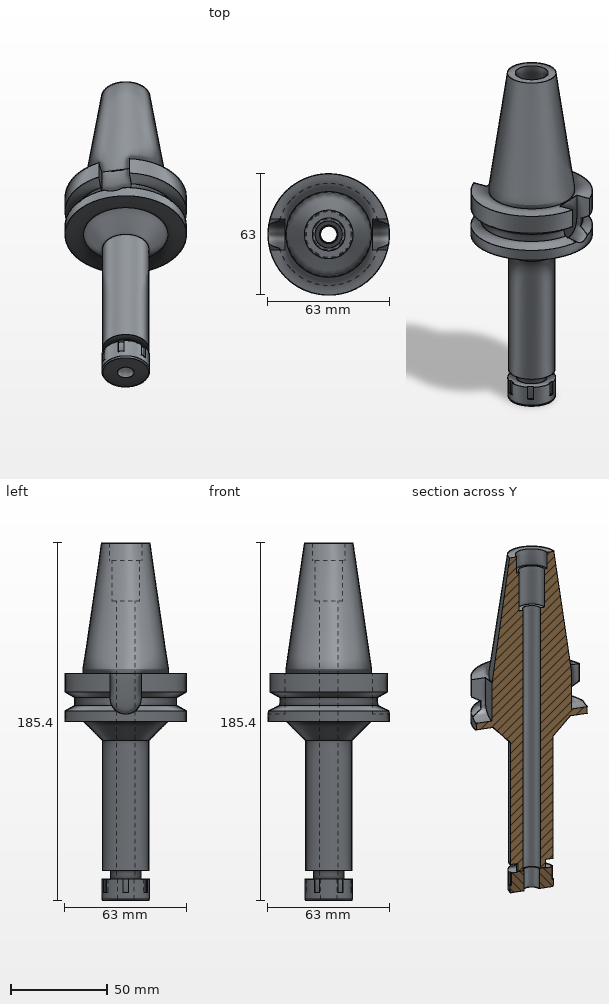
import cadquery as cq

overall_height = 185.4
gauge_height = 120.0
flange_top = 118.0
upper_lip_bottom = 108.3
groove_top = 105.3
groove_bottom = 101.2
lower_lip_top = 98.5
flange_bottom = 92.9
shank_top = 83.0
shank_bottom = 15.5
nut_height = 11.1

taper_top_radius = 12.6
taper_base_radius = 22.2
flange_radius = 31.5
groove_radius = 26.5
shank_radius = 12.0
nose_radius = 8.0
cone_top_radius = shank_radius + (flange_bottom - shank_top)

counterbore_radius = 8.5
counterbore_depth = 8.9
stud_hole_radius = 7.0
stud_hole_depth = 30.0
through_hole_radius = 4.8

drive_slot_width = 16.1
drive_slot_floor = 22.6
drive_slot_bottom = 96.8

nut_radius = 12.5
nut_chamfer_height = 1.0
nut_chamfer_width = 0.5
nut_hole_radius = 4.3
wrench_slot_count = 6
wrench_slot_width = 3.0
wrench_slot_floor = 11.5
wrench_slot_bottom = 4.3


def make_turned_body():
    """Taper, grooved flange, cone, shank and nose, revolved about Z."""
    profile = [
        (0, overall_height),
        (taper_top_radius, overall_height),
        (taper_base_radius, gauge_height),
        (taper_base_radius, flange_top),
        (flange_radius, flange_top),
        (flange_radius, upper_lip_bottom),
        (groove_radius, groove_top),
        (groove_radius, groove_bottom),
        (flange_radius, lower_lip_top),
        (flange_radius, flange_bottom),
        (cone_top_radius, flange_bottom),
        (shank_radius, shank_top),
        (shank_radius, shank_bottom),
        (nose_radius, shank_bottom),
        (nose_radius, nut_height),
        (0, nut_height),
    ]
    return cq.Workplane("XZ").polyline(profile).close().revolve(360, (0, 0), (0, 1))


def make_stepped_bore():
    """Cutter for the counterbore, the pull stud hole and the through hole."""
    bore = cq.Workplane("XY").workplane(offset=nut_height).circle(through_hole_radius)
    bore = bore.extrude(overall_height - nut_height)
    steps = [(stud_hole_radius, stud_hole_depth), (counterbore_radius, counterbore_depth)]
    for radius, depth in steps:
        step = cq.Workplane("XY").workplane(offset=overall_height).circle(radius).extrude(-depth)
        bore = bore.union(step)
    return bore


def make_drive_slot():
    """Cutter for the +X drive slot: open at the top, with a round lower end."""
    half_width = drive_slot_width / 2
    arc_height = drive_slot_bottom + half_width
    return (
        cq.Workplane("YZ")
        .workplane(offset=drive_slot_floor)
        .moveTo(-half_width, flange_top)
        .lineTo(-half_width, arc_height)
        .threePointArc((0, drive_slot_bottom), (half_width, arc_height))
        .lineTo(half_width, flange_top)
        .close()
        .extrude(flange_radius - drive_slot_floor)
    )


def make_holder():
    holder = make_turned_body().cut(make_stepped_bore())
    for angle in (0, 180):
        holder = holder.cut(make_drive_slot().rotate((0, 0, 0), (0, 0, 1), angle))
    return holder


def make_wrench_slot():
    """Cutter for the +X wrench slot, open at the top and outer side of the nut."""
    return (
        cq.Workplane("XY")
        .box(
            nut_radius - wrench_slot_floor,
            wrench_slot_width,
            nut_height - wrench_slot_bottom,
            centered=(False, True, False),
        )
        .translate((wrench_slot_floor, 0, wrench_slot_bottom))
    )


def make_nut():
    profile = [
        (0, 0),
        (nut_radius - nut_chamfer_width, 0),
        (nut_radius, nut_chamfer_height),
        (nut_radius, nut_height),
        (0, nut_height),
    ]
    nut = cq.Workplane("XZ").polyline(profile).close().revolve(360, (0, 0), (0, 1))
    nut = nut.cut(cq.Workplane("XY").circle(nut_hole_radius).extrude(nut_height))
    for index in range(wrench_slot_count):
        angle = index * 360 / wrench_slot_count
        nut = nut.cut(make_wrench_slot().rotate((0, 0, 0), (0, 0, 1), angle))
    return nut


holder = make_holder()
nut = make_nut()

result = cq.Compound.makeCompound([holder.val(), nut.val()])